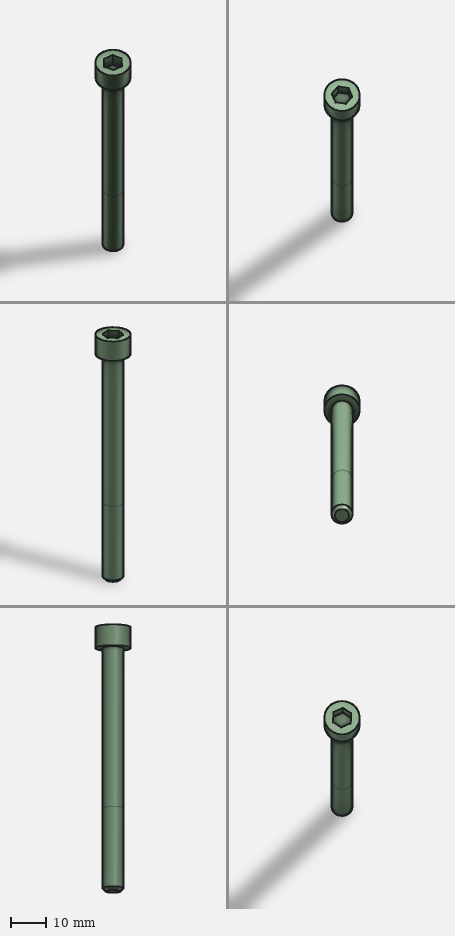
import cadquery as cq
import math

overall_length = 76.0
head_diameter = 10.0
head_height = 6.0
shank_diameter = 6.0
thread_length = 24.0
tip_diameter = 4.0
tip_chamfer = (shank_diameter - tip_diameter) / 2
socket_across_flats = 5.07
socket_depth = 4.0

shank_length = overall_length - head_height
plain_length = shank_length - thread_length
socket_across_corners = socket_across_flats / math.cos(math.radians(30))


def cylinder(diameter, bottom, height):
    base = cq.Workplane("XY").workplane(offset=bottom)
    return base.circle(diameter / 2).extrude(height)


def make_thread():
    return cylinder(shank_diameter, 0, thread_length).faces("<Z").chamfer(tip_chamfer)


def make_plain_shank():
    return cylinder(shank_diameter, thread_length, plain_length)


def make_head():
    return cylinder(head_diameter, shank_length, head_height)


def make_hex_socket():
    top = cq.Workplane("XY").workplane(offset=overall_length)
    return top.polygon(6, socket_across_corners).extrude(-socket_depth)


body = make_thread().union(make_plain_shank(), clean=False)
body = body.union(make_head(), clean=False)
result = body.cut(make_hex_socket(), clean=False)